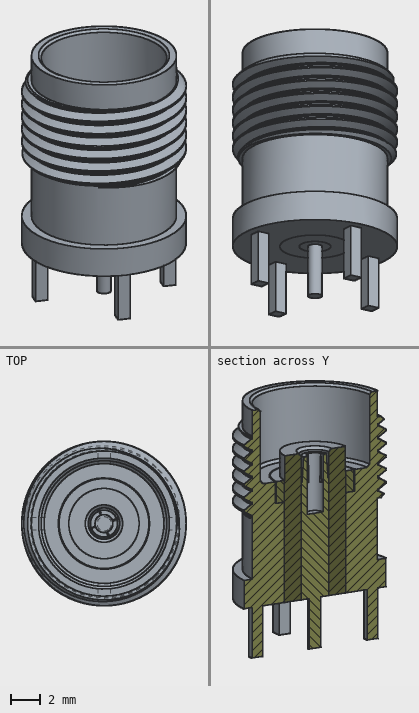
import cadquery as cq

flange_diameter = 11.0
flange_height = 2.0
barrel_diameter = 9.7
rim_z = 13.7
mouth_diameter = 8.4
mouth_chamfer = 0.175
floor_diameter = 8.0
floor_depth = 5.2
floor_z = rim_z - floor_depth
floor_taper_height = (mouth_diameter - floor_diameter) / 2

leg_count = 4
leg_width = 0.85
leg_length = 3.5
leg_offset = 4.45

thread_diameter = 11.0
thread_bottom_z = 6.23
thread_top_z = 11.9
thread_pitch = 25.4 / 28
thread_crest_flat = thread_pitch / 8
thread_root_flat = thread_pitch / 8
thread_root_diameter = 9.88
crest_height_at_x = 10.42
turns_below_crest = 6
ridge_turns = 9
ridge_start_z = crest_height_at_x - turns_below_crest * thread_pitch
ridge_embed = 0.2
thread_end_diameter = 10.2
envelope_clearance = 1.0

ring_diameter = 6.0
ring_pocket_diameter = 6.1
ring_height = 1.5

dielectric_diameter = 4.7
dielectric_recess = 3.5
dielectric_top_z = rim_z - dielectric_recess
dielectric_hole_chamfer = 0.2

contact_diameter = 2.1
contact_tip_diameter = 1.8
contact_bore_diameter = 1.2
contact_recess = 0.3
contact_tip_z = dielectric_top_z - contact_recess
contact_taper_length = 2.0
contact_bore_depth = 4.0
slit_count = 4
slit_root_width = 0.15
slit_tip_width = 0.03
slit_start_angle = 20
pin_diameter = 0.95
pin_length = leg_length


def cylinder(diameter, bottom_z, top_z):
    return cq.Workplane("XY", origin=(0, 0, bottom_z)).circle(diameter / 2).extrude(top_z - bottom_z)


def cone(bottom_diameter, top_diameter, bottom_z, top_z):
    solid = cq.Solid.makeCone(
        bottom_diameter / 2, top_diameter / 2, top_z - bottom_z, cq.Vector(0, 0, bottom_z)
    )
    return cq.Workplane(solid)


def make_thread():
    """Root cylinder with a helical ridge, bevelled at both ends."""
    root_radius = thread_root_diameter / 2
    crest_radius = thread_diameter / 2
    foot_radius = root_radius - ridge_embed
    root_half = (thread_pitch - thread_root_flat) / 2
    crest_half = thread_crest_flat / 2
    path = cq.Wire.makeHelix(thread_pitch, ridge_turns * thread_pitch, foot_radius)
    path = path.translate(cq.Vector(0, 0, ridge_start_z))
    ridge = (
        cq.Workplane("XZ", origin=(0, 0, ridge_start_z))
        .moveTo(foot_radius, -root_half)
        .lineTo(root_radius, -root_half)
        .lineTo(crest_radius, -crest_half)
        .lineTo(crest_radius, crest_half)
        .lineTo(root_radius, root_half)
        .lineTo(foot_radius, root_half)
        .close()
        .sweep(cq.Workplane(path), isFrenet=True)
    )
    envelope_diameter = thread_diameter + envelope_clearance
    envelope = cylinder(envelope_diameter, thread_bottom_z, thread_top_z)
    envelope = envelope.edges().chamfer((envelope_diameter - thread_end_diameter) / 2)
    ridge = ridge.intersect(envelope)
    return ridge.union(cylinder(thread_root_diameter, thread_bottom_z, thread_top_z))


def make_housing():
    body = cylinder(barrel_diameter, 0, rim_z)
    body = body.union(cylinder(flange_diameter, 0, flange_height))
    body = body.union(make_thread())

    body = body.cut(cylinder(mouth_diameter, floor_z + floor_taper_height, rim_z))
    body = body.cut(cone(floor_diameter, mouth_diameter, floor_z, floor_z + floor_taper_height))
    body = body.cut(
        cone(mouth_diameter, mouth_diameter + 2 * mouth_chamfer, rim_z - mouth_chamfer, rim_z)
    )
    body = body.cut(cylinder(ring_pocket_diameter, floor_z - ring_height, floor_z))
    body = body.cut(cylinder(dielectric_diameter, 0, floor_z))

    legs = (
        cq.Workplane("XY")
        .polarArray(leg_offset, 0, 360, leg_count)
        .rect(leg_width, leg_width)
        .extrude(-leg_length)
    )
    return body.union(legs)


def make_ring():
    ring = cylinder(ring_diameter, floor_z - ring_height, floor_z)
    return ring.cut(cylinder(dielectric_diameter, floor_z - ring_height, floor_z))


def make_dielectric():
    body = cylinder(dielectric_diameter, 0, dielectric_top_z)
    body = body.cut(cylinder(contact_diameter, 0, dielectric_top_z))
    chamfer = cone(
        contact_diameter,
        contact_diameter + 2 * dielectric_hole_chamfer,
        dielectric_top_z - dielectric_hole_chamfer,
        dielectric_top_z,
    )
    return body.cut(chamfer)


def make_contact():
    """Solder pin below a socket whose fingers, parted by slits that narrow upwards, taper to the tip."""
    taper_start_z = contact_tip_z - contact_taper_length
    contact = cylinder(contact_diameter, 0, taper_start_z)
    contact = contact.union(cone(contact_diameter, contact_tip_diameter, taper_start_z, contact_tip_z))
    contact = contact.union(cylinder(pin_diameter, -pin_length, 0))
    contact = contact.cut(
        cylinder(contact_bore_diameter, contact_tip_z - contact_bore_depth, contact_tip_z)
    )
    slit_radius = contact_diameter / 2
    slit = (
        cq.Workplane("YZ")
        .moveTo(-slit_root_width / 2, taper_start_z)
        .lineTo(slit_root_width / 2, taper_start_z)
        .lineTo(slit_tip_width / 2, contact_tip_z)
        .lineTo(-slit_tip_width / 2, contact_tip_z)
        .close()
        .extrude(slit_radius)
    )
    for index in range(slit_count):
        angle = slit_start_angle + index * 360 / slit_count
        contact = contact.cut(slit.rotate((0, 0, 0), (0, 0, 1), angle))
    return contact


housing = make_housing()
ring = make_ring()
dielectric = make_dielectric()
contact = make_contact()

bodies = [housing, ring, dielectric, contact]
result = cq.Compound.makeCompound([body.solids().val() for body in bodies])